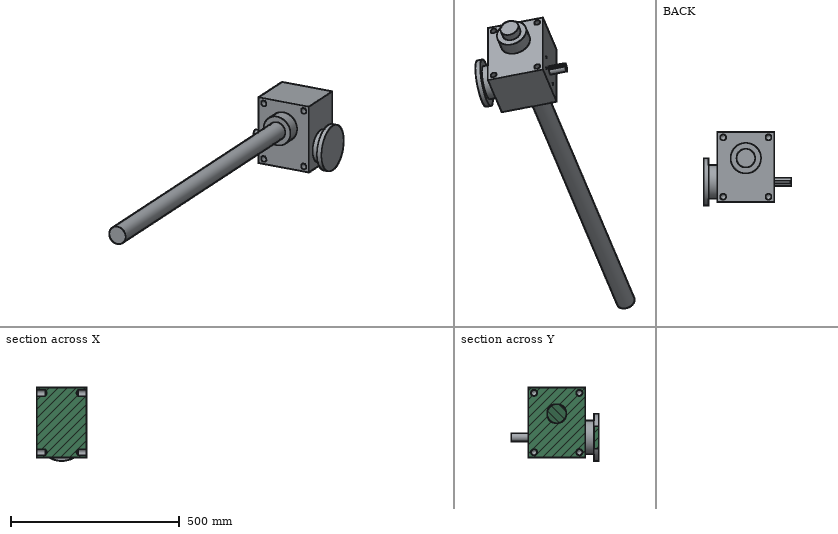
import cadquery as cq
import math


housing_width = 170.0
housing_depth = 148.0
housing_height = 208.0
screw_below_top = 78.0
worm_below_top = 148.0

boss_diameter = 90.0
boss_length = 41.0

neck_diameter = 100.0
neck_length = 25.0
flange_diameter = 140.0
flange_thickness = 15.0

mounting_hole_diameter = 18.0
mounting_hole_depth = 25.0
mounting_hole_inset_x = 18.0
mounting_hole_inset_z = 16.0
drill_point_angle = 118.0

cover_hole_diameter = 6.7
cover_hole_depth = 15.0
cover_hole_spacing_y = 72.0
cover_hole_spacing_z = 44.0

screw_diameter = 55.0
screw_length = 1255.0
screw_tail = 24.0

shaft_diameter = 25.0
shaft_projection = 50.0
shaft_engagement = 50.0
center_hole_diameter = 6.7
center_hole_depth = 15.0
key_width = 8.0
key_height = 7.0
key_projection = 3.0
key_end_gap = 4.0

half_width = housing_width / 2
half_depth = housing_depth / 2
housing_top = screw_below_top
housing_middle = housing_top - housing_height / 2
worm_z = screw_below_top - worm_below_top
boss_end = half_depth + boss_length
screw_end = boss_end + screw_tail
shaft_tip = -half_width - shaft_projection
key_start = shaft_tip + key_end_gap
key_length = -half_width - key_start


def cylinder_x(diameter, length, start):
    """Cylinder on the worm axis, growing toward +X from start."""
    axis_point = cq.Vector(start, 0, worm_z)
    return cq.Workplane(cq.Solid.makeCylinder(diameter / 2, length, axis_point, cq.Vector(1, 0, 0)))


def cylinder_y(diameter, start, end):
    """Cylinder on the screw axis between two Y places."""
    axis_point = cq.Vector(0, start, 0)
    return cq.Workplane(cq.Solid.makeCylinder(diameter / 2, end - start, axis_point, cq.Vector(0, 1, 0)))


def make_mounting_hole(x, z, side):
    """Cutter for a hole with a conical end, entering the Y face on the given side (-1 or 1)."""
    radius = mounting_hole_diameter / 2
    point_length = radius / math.tan(math.radians(drill_point_angle / 2))
    inward = cq.Vector(0, -side, 0)
    mouth = cq.Vector(x, side * half_depth, z)
    bore = cq.Solid.makeCylinder(radius, mounting_hole_depth, mouth, inward)
    point = cq.Solid.makeCone(radius, 0, point_length, mouth + inward * mounting_hole_depth, inward)
    return cq.Workplane(bore.fuse(point))


def make_housing():
    block = cq.Workplane("XY").box(housing_width, housing_depth, housing_height)
    body = block.translate((0, 0, housing_middle))

    body = body.union(cylinder_y(boss_diameter, -boss_end, boss_end))
    body = body.union(cylinder_x(neck_diameter, neck_length, half_width))
    body = body.union(cylinder_x(flange_diameter, flange_thickness, half_width + neck_length))

    body = body.cut(cylinder_y(screw_diameter, -boss_end, boss_end))
    body = body.cut(cylinder_x(shaft_diameter, shaft_engagement, -half_width))

    hole_x = half_width - mounting_hole_inset_x
    hole_z = housing_height / 2 - mounting_hole_inset_z
    for side in (-1, 1):
        for x in (-hole_x, hole_x):
            for z in (housing_middle - hole_z, housing_middle + hole_z):
                body = body.cut(make_mounting_hole(x, z, side))

    cover_holes = (
        cq.Workplane("YZ", origin=(-half_width, 0, worm_z))
        .rarray(cover_hole_spacing_y, cover_hole_spacing_z, 2, 2)
        .circle(cover_hole_diameter / 2)
        .extrude(cover_hole_depth)
    )
    return body.cut(cover_holes)


def make_screw():
    return cylinder_y(screw_diameter, screw_end - screw_length, screw_end)


def make_key():
    key_outer_y = shaft_diameter / 2 + key_projection
    return (
        cq.Workplane("XY")
        .box(key_length, key_height, key_width, centered=(False, False, True))
        .translate((key_start, key_outer_y - key_height, worm_z))
    )


def make_worm_shaft(key):
    shaft = cylinder_x(shaft_diameter, shaft_projection + shaft_engagement, shaft_tip)
    shaft = shaft.cut(cylinder_x(center_hole_diameter, center_hole_depth, shaft_tip))
    return shaft.cut(key)


housing = make_housing()
screw = make_screw()
key = make_key()
worm_shaft = make_worm_shaft(key)

result = cq.Compound.makeCompound([housing.val(), screw.val(), worm_shaft.val(), key.val()])